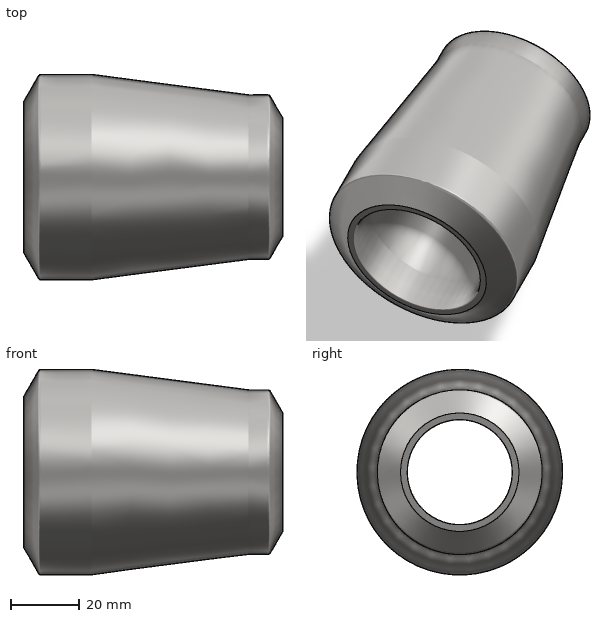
import cadquery as cq
import math

LENGTH = 76.0
LARGE_DIAMETER = 60.3
LARGE_WALL = 10.0
LARGE_STRAIGHT = 20.0
LARGE_BORE_STRAIGHT = 12.0
SMALL_DIAMETER = 48.3
SMALL_WALL = 8.8
SMALL_STRAIGHT = 10.0

BEVEL_ANGLE = 30.0
ROOT_FACE = 2.0
BEVEL_ROUND = 1.0
BORE_EDGE_ROUND = 0.3

LARGE_RADIUS = LARGE_DIAMETER / 2
SMALL_RADIUS = SMALL_DIAMETER / 2
LARGE_BORE_RADIUS = LARGE_RADIUS - LARGE_WALL
SMALL_BORE_RADIUS = SMALL_RADIUS - SMALL_WALL
LARGE_END = -LENGTH / 2
SMALL_END = LENGTH / 2
LARGE_ROOT_RADIUS = LARGE_BORE_RADIUS + ROOT_FACE
SMALL_ROOT_RADIUS = SMALL_BORE_RADIUS + ROOT_FACE


def bevel_length(outer_radius, root_radius):
    """Axial length of a bevel from the outside down to the root face."""
    return (outer_radius - root_radius) * math.tan(math.radians(BEVEL_ANGLE))


LARGE_BEVEL_X = LARGE_END + bevel_length(LARGE_RADIUS, LARGE_ROOT_RADIUS)
SMALL_BEVEL_X = SMALL_END - bevel_length(SMALL_RADIUS, SMALL_ROOT_RADIUS)


def revolved_wall():
    """Sharp-edged wall section (axial position, radius) turned around the X axis."""
    outside = [
        (LARGE_END, LARGE_ROOT_RADIUS),
        (LARGE_BEVEL_X, LARGE_RADIUS),
        (LARGE_END + LARGE_STRAIGHT, LARGE_RADIUS),
        (SMALL_END - SMALL_STRAIGHT, SMALL_RADIUS),
        (SMALL_BEVEL_X, SMALL_RADIUS),
        (SMALL_END, SMALL_ROOT_RADIUS),
    ]
    bore = [
        (SMALL_END, SMALL_BORE_RADIUS),
        (SMALL_END - SMALL_STRAIGHT, SMALL_BORE_RADIUS),
        (LARGE_END + LARGE_BORE_STRAIGHT, LARGE_BORE_RADIUS),
        (LARGE_END, LARGE_BORE_RADIUS),
    ]
    section = cq.Workplane("XZ").polyline(outside + bore).close()
    return section.revolve(360, (0, 0, 0), (1, 0, 0))


def round_edge(body, x, edge_radius, rounding):
    """Round the circular edge at the given axial position and radius."""
    matches = [
        edge for edge in body.edges("%CIRCLE").vals()
        if math.isclose(edge.Center().x, x) and math.isclose(edge.radius(), edge_radius)
    ]
    return body.newObject(matches).fillet(rounding)


result = revolved_wall()
for bevel_x, outer_radius in ((LARGE_BEVEL_X, LARGE_RADIUS), (SMALL_BEVEL_X, SMALL_RADIUS)):
    result = round_edge(result, bevel_x, outer_radius, BEVEL_ROUND)
for end_x, bore_radius in ((LARGE_END, LARGE_BORE_RADIUS), (SMALL_END, SMALL_BORE_RADIUS)):
    result = round_edge(result, end_x, bore_radius, BORE_EDGE_ROUND)